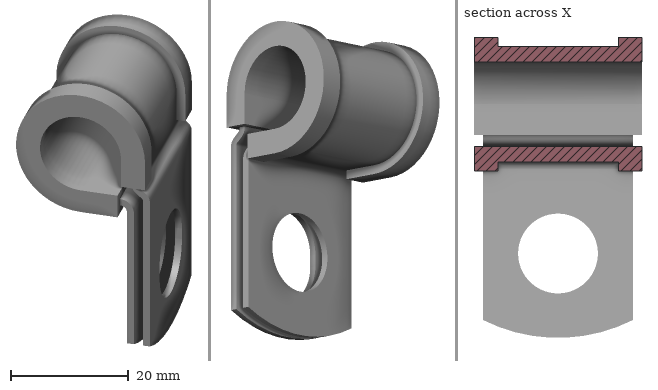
import cadquery as cq
import math

length = 28.45
outer_radius = 11.4
bore_radius = 7.15
collar_length = 4.05
upper_leg_end_z = -5.3
lower_leg_end_x = 6.55

strap_width = 25.4
strap_thickness = 1.25
strap_inner_radius = 8.65
strap_outer_radius = strap_inner_radius + strap_thickness

overall_height = 51.1
tab_bottom_z = outer_radius - overall_height
tab_end_sagitta = 3.0
lower_bend_radius = strap_thickness
upper_tab_inner_x = 10.55
jog_start_z = -5.6
jog_bend_radius = strap_thickness / 2
jog_angle = math.radians(50)
hole_diameter = 13.55
hole_z = -25.4
slot_length = 15.6


def extrude_centred(profile, width):
    """Extrude an XZ profile symmetrically about the plane y = 0."""
    return profile.extrude(width / 2, both=True)


def wrap(inner, outer, width):
    """C-shaped band: three quarters of a ring plus its two straight legs."""
    diagonal = math.sqrt(0.5)
    profile = (
        cq.Workplane("XZ")
        .moveTo(outer, upper_leg_end_z)
        .lineTo(outer, 0)
        .threePointArc((-outer * diagonal, outer * diagonal), (0, -outer))
        .lineTo(lower_leg_end_x, -outer)
        .lineTo(lower_leg_end_x, -inner)
        .lineTo(0, -inner)
        .threePointArc((-inner * diagonal, inner * diagonal), (inner, 0))
        .lineTo(inner, upper_leg_end_z)
        .close()
    )
    return extrude_centred(profile, width)


def lower_tab():
    """Tab leaving the lower leg through a quarter bend."""
    outside_radius = lower_bend_radius + strap_thickness
    bend_z = -strap_inner_radius - outside_radius
    inner_x = lower_leg_end_x + lower_bend_radius
    outer_x = lower_leg_end_x + outside_radius
    profile = (
        cq.Workplane("XZ")
        .moveTo(lower_leg_end_x, -strap_inner_radius)
        .radiusArc((outer_x, bend_z), outside_radius)
        .lineTo(outer_x, tab_bottom_z)
        .lineTo(inner_x, tab_bottom_z)
        .lineTo(inner_x, bend_z)
        .radiusArc((lower_leg_end_x, -strap_outer_radius), -lower_bend_radius)
        .close()
    )
    return extrude_centred(profile, strap_width)


def upper_tab():
    """Tab leaving the upper leg through a jog: two equal opposite bends joined by a straight slant."""
    outer_x = upper_tab_inner_x + strap_thickness
    outside_radius = jog_bend_radius + strap_thickness
    cosine = math.cos(jog_angle)
    sine = math.sin(jog_angle)
    inside_run, inside_drop = jog_bend_radius * (1 - cosine), jog_bend_radius * sine
    outside_run, outside_drop = outside_radius * (1 - cosine), outside_radius * sine
    slant_run = upper_tab_inner_x - strap_inner_radius - inside_run - outside_run
    slant_drop = slant_run / math.tan(jog_angle)
    jog_end_z = jog_start_z - inside_drop - slant_drop - outside_drop
    profile = (
        cq.Workplane("XZ")
        .moveTo(strap_outer_radius, upper_leg_end_z)
        .lineTo(strap_outer_radius, jog_start_z)
        .radiusArc((strap_outer_radius + inside_run, jog_start_z - inside_drop), -jog_bend_radius)
        .lineTo(outer_x - outside_run, jog_end_z + outside_drop)
        .radiusArc((outer_x, jog_end_z), outside_radius)
        .lineTo(outer_x, tab_bottom_z)
        .lineTo(upper_tab_inner_x, tab_bottom_z)
        .lineTo(upper_tab_inner_x, jog_end_z)
        .radiusArc((upper_tab_inner_x - inside_run, jog_end_z + inside_drop), -jog_bend_radius)
        .lineTo(strap_inner_radius + outside_run, jog_start_z - outside_drop)
        .radiusArc((strap_inner_radius, jog_start_z), outside_radius)
        .lineTo(strap_inner_radius, upper_leg_end_z)
        .close()
    )
    return extrude_centred(profile, strap_width)


def tab_outline():
    """Block along X bounding both tabs, with a rounded lower end."""
    half_width = strap_width / 2
    corner_z = tab_bottom_z + tab_end_sagitta
    return (
        cq.Workplane("YZ")
        .moveTo(-half_width, 0)
        .lineTo(-half_width, corner_z)
        .threePointArc((0, tab_bottom_z), (half_width, corner_z))
        .lineTo(half_width, 0)
        .close()
        .extrude(overall_height)
    )


def round_hole():
    """Cutter along X for the bolt hole of the lower tab."""
    return cq.Workplane("YZ").center(0, hole_z).circle(hole_diameter / 2).extrude(overall_height)


def vertical_slot():
    """Cutter along X for the bolt slot of the upper tab."""
    return cq.Workplane("YZ").center(0, hole_z).slot2D(slot_length, hole_diameter, 90).extrude(overall_height)


result = wrap(bore_radius, strap_outer_radius, length)

collar_offset = (length - collar_length) / 2
for side in (-1, 1):
    collar = wrap(bore_radius, outer_radius, collar_length)
    result = result.union(collar.translate((0, side * collar_offset, 0)))

round_hole_tab = lower_tab().cut(round_hole())
slotted_tab = upper_tab().cut(vertical_slot())
tabs = round_hole_tab.union(slotted_tab)
result = result.union(tabs.intersect(tab_outline()))